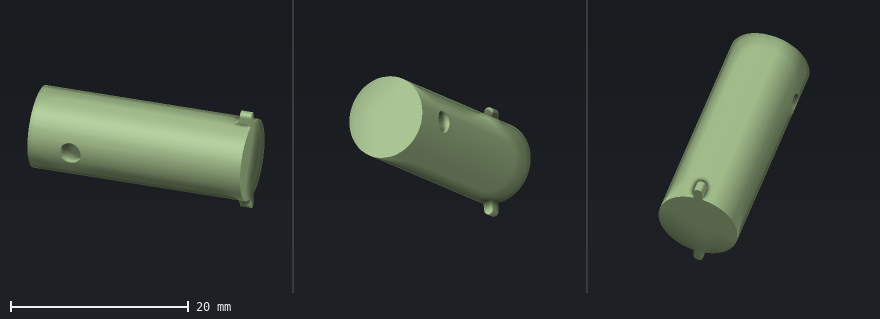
import cadquery as cq
import math

length = 25.0
body_diameter = 9.4
body_radius = body_diameter / 2

hole_diameter = 2.5
hole_position = 5.0

lug_span = 12.4
lug_width = 1.1
lug_thickness = 1.3
root_radius = 1.0

tip_radius = lug_width / 2
lug_top = lug_span / 2
flat_height = math.sqrt(body_radius**2 - tip_radius**2)


def make_body():
    """Cylinder with narrow top and bottom flats."""
    cylinder = cq.Workplane("YZ").circle(body_radius).extrude(length)
    envelope = cq.Workplane("YZ").rect(body_diameter, 2 * flat_height).extrude(length)
    return cylinder.intersect(envelope)


def make_lugs():
    """Bar across the body whose ends form both lugs, with concave roots."""
    lug_face = length - lug_thickness
    root_start = lug_face - root_radius
    root_top = flat_height + root_radius
    arc_offset = root_radius * math.sin(math.radians(45))
    root_middle = (root_start + arc_offset, root_top - arc_offset)
    half_profile = (
        cq.Workplane("XZ")
        .moveTo(root_start, 0)
        .lineTo(root_start, flat_height)
        .threePointArc(root_middle, (lug_face, root_top))
        .lineTo(lug_face, lug_top)
        .lineTo(length, lug_top)
        .lineTo(length, 0)
        .close()
        .extrude(tip_radius, both=True)
    )
    bar = half_profile.union(half_profile.mirror("XY"))
    rounded_outline = cq.Workplane("YZ").slot2D(lug_span, lug_width, 90).extrude(length)
    return bar.intersect(rounded_outline)


def make_cross_hole():
    """Cutter passing through the full body diameter."""
    return (
        cq.Workplane("XZ")
        .center(hole_position, 0)
        .circle(hole_diameter / 2)
        .extrude(body_diameter, both=True)
    )


result = make_body().union(make_lugs()).cut(make_cross_hole())